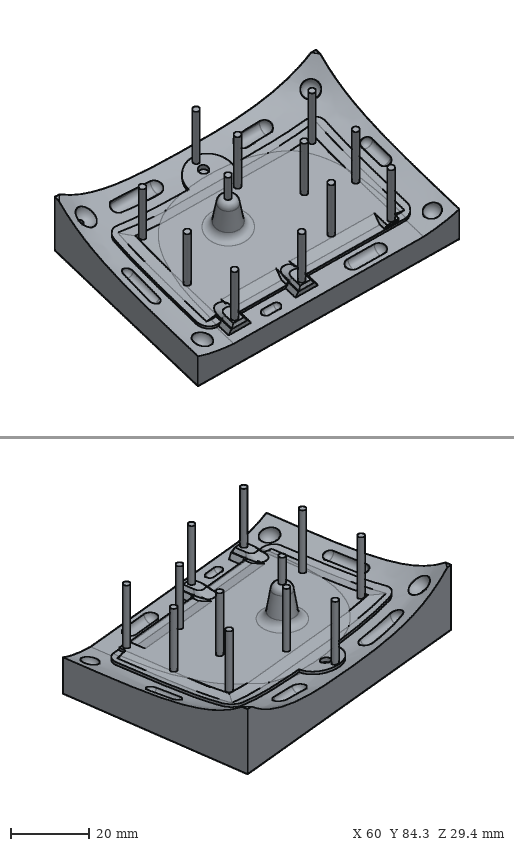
import cadquery as cq
import math

LENGTH_X = 60.0
LENGTH_Y = 84.31
RIM_Z = 20.0
FLAT_Z = 8.4
MID_Y = LENGTH_Y / 2

DISH_A = 50.06
DISH_B = 30.64
DISH_EXP_X = 3.61
DISH_EXP_Y = 2.467
DISH_RISE = 0.61
DISH_POWER = 2.194
DISH_STEPS = 16
DISH_DEPTH = 30.0
SURFACE_TOLERANCE = 0.01

RING_LIFT = 0.9
CORE_LIFT = 1.7
RING_X = (11.3, 52.74)
RING_BULGE_X = 10.85
RING_Y = (7.86, 75.96)
RING_CORNER_R = 3.7
TAB_CENTRE = (10.5, 41.97)
TAB_R = 7.15
VENT_CENTRE = (7.87, 41.97)
VENT_R = 1.45
VENT_DEPTH = 1.5
CORE_X = (16.6, 52.4)
CORE_Y = (13.27, 70.7)
STRIP_FOOT_X = (13.16, 50.4)
STRIP_FOOT_Y = (10.13, 74.0)
STRIP_STEPS = 10
STRIP_DEPTH = 6.0
RING_Z = FLAT_Z + RING_LIFT
CORE_Z = FLAT_Z + CORE_LIFT

STEP_START_X = 47.0
STEP_SPANS_Y = ((39.4, 66.9), (17.45, 35.2))
STEP_END_RUN = 0.9
STEP_CLEARANCE = 1.0

BOSS_Y = (37.45, 15.87)
BOSS_TOP_Z = 11.3
BOSS_BASE_X = (RING_X[1], 56.9)
BOSS_FOOT_HALF = 3.6
BOSS_LEDGE_HALF = 2.7
NOSE_FOOT_X = (47.5, 56.9)
NOSE_FOOT_HALF = 2.5
NOSE_FOOT_LENGTH = 4.5
NOSE_TOP_X = (50.9, 56.4)
NOSE_TOP_HALF = 1.7
NOSE_TOP_LENGTH = 2.2

PIN_R = 1.0
PIN_TOP_Z = 29.42

POST_CENTRE = (27.93, 34.4)
FLARE_R = 6.7
FLARE_HOLLOW = 0.66
POST_FOOT_R = 4.1
POST_FOOT_Z = 12.3
POST_NECK_R = 3.0
POST_NECK_Z = 19.1
POST_TIP_Z = 21.1

PIN_CENTRES = (
    (17.7, 69.4),
    (35.2, 70.0),
    (51.3, 69.0),
    (30.4, 57.1),
    (46.1, 53.7),
    (18.2, 45.0),
    (4.7, 42.0),
    (17.8, 14.6),
    (37.2, 14.1),
    (55.1, 37.25),
    (55.1, 15.6),
    POST_CENTRE,
)

SLOTS = (
    (30.31, 80.27, 10.94, 3.44, False),
    (30.9, 4.05, 14.57, 3.44, False),
    (5.84, 59.5, 11.75, 4.4, True),
    (5.25, 22.05, 17.21, 4.48, True),
    (56.4, 56.9, 12.66, 4.18, True),
    (56.25, 26.5, 5.97, 2.6, True),
)

SOCKETS = (
    (5.5, 78.4, 2.7, 0.3),
    (55.0, 79.5, 2.55, 0.3),
    (6.3, 5.8, 3.3, -1.0),
    (54.65, 5.46, 2.83, 0.3),
)
SOCKET_VENT = (5.16, 4.54)
SOCKET_VENT_R = 0.7
SOCKET_VENT_DEPTH = 4.0


def dish_z(x, y):
    """Height of the dished surface before it runs out into the flat."""
    x_term = (abs(x - LENGTH_X) / DISH_A) ** DISH_EXP_X
    y_term = (abs(y - MID_Y) / DISH_B) ** DISH_EXP_Y
    return FLAT_Z + DISH_RISE * ((x_term + y_term) ** DISH_POWER - 1)


def flat_z(x, y):
    return FLAT_Z


def surface_z(x, y):
    return max(dish_z(x, y), FLAT_Z)


def box_between(x_range, y_range, z_range):
    size = (x_range[1] - x_range[0], y_range[1] - y_range[0], z_range[1] - z_range[0])
    return cq.Workplane("XY").box(*size, centered=False).translate((x_range[0], y_range[0], z_range[0]))


def fuse_all(pieces):
    first, *others = [piece.val() for piece in pieces]
    return first.fuse(*others)


def solid_below(height, corners, start_lift, end_lift, steps, depth):
    """Solid under a smooth surface spanning a four-cornered plan outline.

    The lift above `height` runs from start_lift on the first side to end_lift on the opposite side.
    """
    (ax, ay), (bx, by), (cx, cy), (dx, dy) = corners
    grid = []
    for i in range(steps + 1):
        u = i / steps
        row = []
        for j in range(steps + 1):
            v = j / steps
            x = (1 - v) * (ax + u * (bx - ax)) + v * (dx + u * (cx - dx))
            y = (1 - v) * (ay + u * (by - ay)) + v * (dy + u * (cy - dy))
            lift = start_lift + v * (end_lift - start_lift)
            row.append(cq.Vector(x, y, height(x, y) + lift))
        grid.append(row)
    top = cq.Face.makeSplineApprox(grid, tol=SURFACE_TOLERANCE, minDeg=3, maxDeg=6)
    return cq.Workplane(obj=cq.Solid.extrudeLinear(top, cq.Vector(0, 0, -depth)))


def terrain(lift):
    """Block bounded above by the dish and flat, both raised by lift."""
    corners = ((0, 0), (LENGTH_X, 0), (LENGTH_X, LENGTH_Y), (0, LENGTH_Y))
    whole = box_between((0, LENGTH_X), (0, LENGTH_Y), (0, RIM_Z))
    dish = solid_below(dish_z, corners, lift, lift, DISH_STEPS, DISH_DEPTH).intersect(whole)
    flat = box_between((0, LENGTH_X), (0, LENGTH_Y), (0, FLAT_Z + lift))
    return dish.union(flat)


def make_ring():
    """Rounded outline with a slightly bowed -X side, joined to a round tab."""
    x0, x1 = RING_X
    y0, y1 = RING_Y
    outline = (
        cq.Workplane("XY")
        .moveTo(x0, y0)
        .lineTo(x1, y0)
        .lineTo(x1, y1)
        .lineTo(x0, y1)
        .threePointArc((RING_BULGE_X, (y0 + y1) / 2), (x0, y0))
        .close()
        .extrude(RIM_Z)
        .edges("|Z")
        .fillet(RING_CORNER_R)
    )
    tab = cq.Workplane("XY").center(*TAB_CENTRE).circle(TAB_R).extrude(RIM_Z)
    return terrain(RING_LIFT).intersect(outline.union(tab))


def make_core():
    return terrain(CORE_LIFT).intersect(box_between(CORE_X, CORE_Y, (0, RIM_Z)))


def make_strips():
    """Sloping borders from the ring up to the plateau, mitred at the two -X corners."""
    foot_x0, end_x = STRIP_FOOT_X
    foot_y0, foot_y1 = STRIP_FOOT_Y
    core_x0 = CORE_X[0]
    core_y0, core_y1 = CORE_Y
    outlines = (
        ((foot_x0, foot_y0), (foot_x0, foot_y1), (core_x0, core_y1), (core_x0, core_y0)),
        ((foot_x0, foot_y0), (end_x, foot_y0), (end_x, core_y0), (core_x0, core_y0)),
        ((foot_x0, foot_y1), (end_x, foot_y1), (end_x, core_y1), (core_x0, core_y1)),
    )
    strips = []
    for corners in outlines:
        for height in (dish_z, flat_z):
            strips.append(solid_below(height, corners, RING_LIFT, CORE_LIFT, STRIP_STEPS, STRIP_DEPTH))
    return strips


def make_step(y_range):
    """Cutter that slopes the plateau edge down to the ring, with leaning end walls."""
    y0, y1 = y_range
    top_z = CORE_Z + STEP_CLEARANCE
    end_x = RING_X[1]
    profile = (
        cq.Workplane("XZ")
        .moveTo(STEP_START_X, CORE_Z)
        .lineTo(STRIP_FOOT_X[1], RING_Z)
        .lineTo(end_x, RING_Z)
        .lineTo(end_x, top_z)
        .lineTo(STEP_START_X, top_z)
        .close()
        .extrude(-LENGTH_Y)
    )
    ends = (
        cq.Workplane("YZ")
        .moveTo(y0 + STEP_END_RUN, RING_Z)
        .lineTo(y1 - STEP_END_RUN, RING_Z)
        .lineTo(y1, CORE_Z)
        .lineTo(y1, top_z)
        .lineTo(y0, top_z)
        .lineTo(y0, CORE_Z)
        .close()
        .extrude(LENGTH_X)
    )
    return profile.intersect(ends)


def nose_outline(plane, x_range, half_width, nose_length):
    """Closed outline with a rounded -X end that narrows over nose_length."""
    tip_x, end_x = x_range
    shoulder_x = tip_x + nose_length
    return (
        plane.moveTo(end_x, -half_width)
        .lineTo(shoulder_x, -half_width)
        .spline(
            [(tip_x, 0), (shoulder_x, half_width)],
            tangents=[(-1, 0), (1, 0)],
            includeCurrent=True,
        )
        .lineTo(end_x, half_width)
        .close()
    )


def make_boss(y):
    """Drafted base on the flat carrying a rounded nose that slopes down onto the plateau."""
    start_x, end_x = BOSS_BASE_X
    base = (
        cq.Workplane("YZ", origin=(start_x, 0, 0))
        .moveTo(-BOSS_FOOT_HALF, FLAT_Z)
        .lineTo(BOSS_FOOT_HALF, FLAT_Z)
        .lineTo(BOSS_LEDGE_HALF, CORE_Z)
        .lineTo(-BOSS_LEDGE_HALF, CORE_Z)
        .close()
        .extrude(end_x - start_x)
    )
    foot_plane = cq.Workplane("XY", origin=(0, 0, CORE_Z))
    foot = nose_outline(foot_plane, NOSE_FOOT_X, NOSE_FOOT_HALF, NOSE_FOOT_LENGTH)
    top_plane = foot.workplane(offset=BOSS_TOP_Z - CORE_Z)
    top = nose_outline(top_plane, NOSE_TOP_X, NOSE_TOP_HALF, NOSE_TOP_LENGTH)
    return base.union(top.loft(ruled=True)).translate((0, y, 0))


def make_post():
    """Revolved post whose foot flares out in a hollow arc and whose head rounds in to the pin."""
    flare_mid = (
        FLARE_R - (FLARE_R - POST_FOOT_R) * FLARE_HOLLOW,
        POST_FOOT_Z - (POST_FOOT_Z - CORE_Z) * FLARE_HOLLOW,
    )
    mid_arc = math.radians(45)
    dome_mid = (
        PIN_R + (POST_NECK_R - PIN_R) * math.cos(mid_arc),
        POST_NECK_Z + (POST_TIP_Z - POST_NECK_Z) * math.sin(mid_arc),
    )
    profile = (
        cq.Workplane("XZ")
        .moveTo(0, FLAT_Z)
        .lineTo(FLARE_R, FLAT_Z)
        .lineTo(FLARE_R, CORE_Z)
        .threePointArc(flare_mid, (POST_FOOT_R, POST_FOOT_Z))
        .lineTo(POST_NECK_R, POST_NECK_Z)
        .threePointArc(dome_mid, (PIN_R, POST_TIP_Z))
        .lineTo(0, POST_TIP_Z)
        .close()
    )
    return profile.revolve(360, (0, 0), (0, 1)).translate((*POST_CENTRE, 0))


def make_pin(centre):
    height = PIN_TOP_Z - FLAT_Z
    return cq.Workplane("XY", origin=(*centre, FLAT_Z)).circle(PIN_R).extrude(height)


def make_slot(x, y, length, width, along_y):
    """Capsule whose axis lies at the height of the surface under its centre."""
    radius = width / 2
    straight = length - width
    capsule = cq.Workplane("YZ").circle(radius).extrude(straight / 2, both=True)
    for end in (-straight / 2, straight / 2):
        capsule = capsule.union(cq.Workplane("XY").sphere(radius).translate((end, 0, 0)))
    if along_y:
        capsule = capsule.rotate((0, 0, 0), (0, 0, 1), 90)
    return capsule.translate((x, y, surface_z(x, y)))


def make_socket(x, y, radius, sink):
    return cq.Workplane("XY").sphere(radius).translate((x, y, surface_z(x, y) - sink))


def make_drill(centre, radius, top_z, depth):
    return cq.Workplane("XY", origin=(*centre, top_z - depth)).circle(radius).extrude(depth + RIM_Z)


cutters = [make_step(span) for span in STEP_SPANS_Y]
cutters += [make_slot(*slot) for slot in SLOTS]
cutters += [make_socket(*socket) for socket in SOCKETS]
cutters.append(make_drill(VENT_CENTRE, VENT_R, surface_z(*VENT_CENTRE) + RING_LIFT, VENT_DEPTH))
cutters.append(make_drill(SOCKET_VENT, SOCKET_VENT_R, surface_z(*SOCKET_VENT), SOCKET_VENT_DEPTH))
additions = [make_boss(boss_y) for boss_y in BOSS_Y]
additions.append(make_post())
additions += [make_pin(centre) for centre in PIN_CENTRES]

body = fuse_all([terrain(0), make_ring(), make_core()] + make_strips())
body = body.cut(*[cutter.val() for cutter in cutters])
body = body.fuse(*[addition.val() for addition in additions])
result = cq.Workplane(obj=body.Solids()[0])